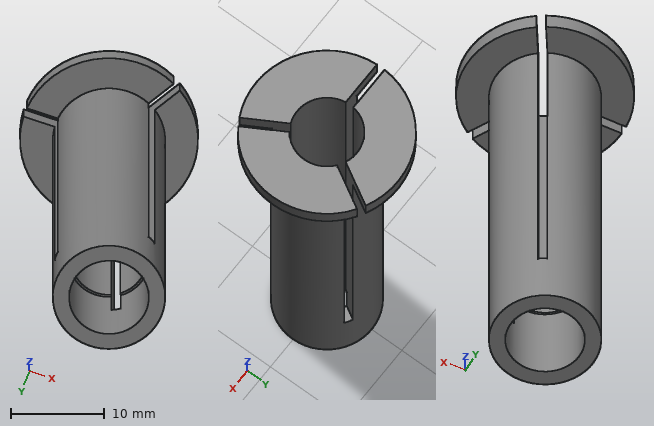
import cadquery as cq

total_height = 44.5
flange_diameter = 19.0
flange_thickness = 2.0
sleeve_diameter = 12.0
upper_bore_diameter = 8.0
lower_bore_diameter = 8.5
lower_bore_depth = 10.0
slot_count = 3
first_slot_angle = 60.0
slot_width = 1.0
slot_floor_height = 6.5

flange_bottom = total_height - flange_thickness


def turned_body():
    """Straight sleeve with a head flange and a stepped bore, revolved about Z."""
    return (
        cq.Workplane("XZ")
        .moveTo(lower_bore_diameter / 2, 0)
        .lineTo(sleeve_diameter / 2, 0)
        .lineTo(sleeve_diameter / 2, flange_bottom)
        .lineTo(flange_diameter / 2, flange_bottom)
        .lineTo(flange_diameter / 2, total_height)
        .lineTo(upper_bore_diameter / 2, total_height)
        .lineTo(upper_bore_diameter / 2, lower_bore_depth)
        .lineTo(lower_bore_diameter / 2, lower_bore_depth)
        .close()
        .revolve(360, (0, 0, 0), (0, 1, 0))
    )


def radial_slot(angle):
    """Slot from the axis outward past the flange rim, open at the top, turned to the given angle."""
    return (
        cq.Workplane("XY")
        .workplane(offset=slot_floor_height)
        .rect(flange_diameter, slot_width)
        .extrude(total_height - slot_floor_height)
        .translate((flange_diameter / 2, 0, 0))
        .rotate((0, 0, 0), (0, 0, 1), angle)
    )


result = turned_body()
for slot_index in range(slot_count):
    result = result.cut(radial_slot(first_slot_angle + slot_index * 360 / slot_count))